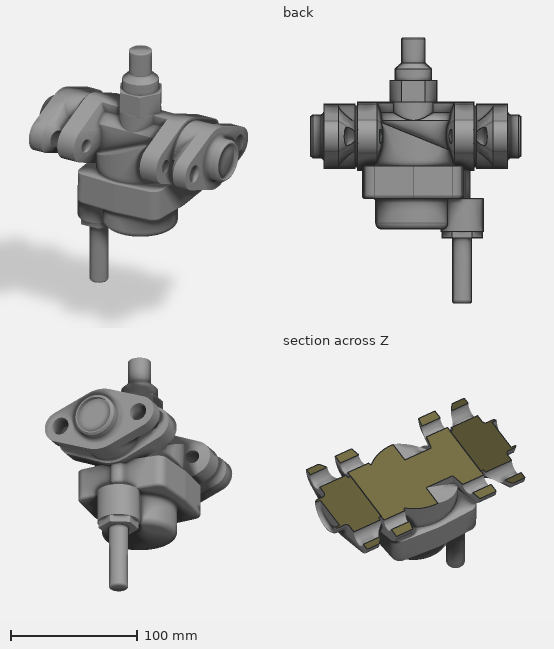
import cadquery as cq
import math


half_length = 83.3
body_flange_inner_x = 30.7
body_flange_outer_x = 46.0
neck_end_x = 48.1
flange_inner_x = 61.1
flange_outer_x = 72.7
bolt_offset = 34.0
body_ear_offset = 34.0
flange_ear_offset = 34.7
body_bolt_radius = 5.5
flange_bolt_radius = 7.1
body_crest_radius = 27.2
body_ear_radius = 14.0
flange_crest_radius = 25.6
flange_ear_radius = 13.0
spigot_radius = 24.2

body_taper_end_x = 23.7
body_taper_end = (12.2, 7.5, 8.5)
flange_taper_end = (flange_crest_radius, 21.2, 7.5)

stub_radius = 17.0
stub_fillet = 3.0
stub_chamfer_length = 1.9
stub_chamfer_depth = 1.5
bore_radius = 14.7
bore_depth = 4.2

valve_x = 1.9
saddle_radius = 23.5
saddle_centre_z = -3.8
saddle_half_width = 16.8
ridge_half_width = 6.0
boss_radius = 16.8
barrel_radius = 35.3
barrel_cut_angle = 22.0

plate_top_z = -23.5
plate_bottom_z = -49.2
plate_mid_reach = 40.3
plate_corner_reach = 37.8
plate_corner_radius = 8.0
cover_fillet = 2.0
cup_radius = 29.8
cup_bottom_z = -73.3
cup_fillet = 4.8

pilot_x = -36.8
pilot_radius = 16.8
pilot_top_fillet = 0.6
pilot_bottom_z = -75.2
pilot_hex_radius = 16.0
pilot_hex_bottom_z = -80.5
pilot_stem_radius = 7.5
pilot_stem_bottom_z = -132.2
pilot_stem_fillet = 1.9
channel_radius = 6.3
channel_fillet = 2.0

spindle_hex_radius = 18.7
spindle_hex_top_z = 44.3
collar_radius = 14.5
collar_top_z = 53.4
cap_radius = 9.2
cap_bottom_z = 58.2
cap_top_z = 78.0
cap_fillet = 1.3


def cylinder(x, radius, bottom_z, top_z):
    return cq.Workplane("XY", origin=(x, 0, bottom_z)).circle(radius).extrude(top_z - bottom_z)


def hexagon(x, corner_radius, bottom_z, top_z):
    plane = cq.Workplane("XY", origin=(x, 0, bottom_z))
    return plane.polygon(6, 2 * corner_radius).extrude(top_z - bottom_z)


def pipe_disc(radius, start_x, end_x):
    return cq.Workplane("YZ", origin=(start_x, 0, 0)).circle(radius).extrude(end_x - start_x)


def lens_outline(x, crest_radius, ear_offset, ear_radius):
    """Oval flange outline: a central circle and two ear circles joined by tangent lines."""
    sine = (crest_radius - ear_radius) / ear_offset
    cosine = math.sqrt(1 - sine**2)
    crest_y = crest_radius * sine
    crest_z = crest_radius * cosine
    ear_y = ear_offset + ear_radius * sine
    ear_z = ear_radius * cosine
    tip_y = ear_offset + ear_radius
    return (
        cq.Workplane("YZ", origin=(x, 0, 0))
        .moveTo(ear_y, -ear_z)
        .threePointArc((tip_y, 0), (ear_y, ear_z))
        .lineTo(crest_y, crest_z)
        .threePointArc((0, crest_radius), (-crest_y, crest_z))
        .lineTo(-ear_y, ear_z)
        .threePointArc((-tip_y, 0), (-ear_y, -ear_z))
        .lineTo(-crest_y, -crest_z)
        .threePointArc((0, -crest_radius), (crest_y, -crest_z))
        .close()
    )


def lens_taper(start_x, start_lens, end_x, end_lens):
    start_wire = lens_outline(start_x, *start_lens).val()
    end_wire = lens_outline(end_x, *end_lens).val()
    return cq.Workplane(cq.Solid.makeLoft([start_wire, end_wire], True))


def bolt_holes(radius, start_x, end_x):
    plane = cq.Workplane("YZ", origin=(start_x, 0, 0))
    return plane.pushPoints([(-bolt_offset, 0), (bolt_offset, 0)]).circle(radius).extrude(end_x - start_x)


def connection_flange():
    """Flange on the +X end: oval plate, tapered neck with spigot, and a pipe stub."""
    lens = (flange_crest_radius, flange_ear_offset, flange_ear_radius)
    plate = lens_outline(flange_inner_x, *lens).extrude(flange_outer_x - flange_inner_x)
    taper = lens_taper(flange_inner_x, lens, neck_end_x, flange_taper_end)
    neck = pipe_disc(flange_crest_radius, neck_end_x, flange_inner_x)
    spigot = pipe_disc(spigot_radius, body_flange_outer_x, neck_end_x)
    fillet_mid = stub_fillet * (1 - math.sqrt(0.5))
    stub = (
        cq.Workplane("XY")
        .moveTo(flange_inner_x, 0)
        .lineTo(flange_inner_x, stub_radius + stub_fillet)
        .lineTo(flange_outer_x, stub_radius + stub_fillet)
        .threePointArc(
            (flange_outer_x + fillet_mid, stub_radius + fillet_mid),
            (flange_outer_x + stub_fillet, stub_radius),
        )
        .lineTo(half_length - stub_chamfer_length, stub_radius)
        .lineTo(half_length, stub_radius - stub_chamfer_depth)
        .lineTo(half_length, bore_radius)
        .lineTo(half_length - bore_depth, bore_radius)
        .lineTo(half_length - bore_depth, 0)
        .close()
        .revolve(360, (0, 0, 0), (1, 0, 0))
    )
    solid = plate.union(taper).union(neck).union(spigot).union(stub)
    return solid.cut(bolt_holes(flange_bolt_radius, neck_end_x, flange_outer_x))


def body_flange():
    """Body flange on the +X end, with its back tapering in towards the barrel."""
    lens = (body_crest_radius, body_ear_offset, body_ear_radius)
    plate = lens_outline(body_flange_inner_x, *lens).extrude(body_flange_outer_x - body_flange_inner_x)
    taper = lens_taper(body_flange_inner_x, lens, body_taper_end_x, body_taper_end)
    return plate.union(taper)


def pipe_strip(radius, half_width):
    """Length of round bar between the body flanges, with flat sides at the given half width."""
    bar = pipe_disc(radius, -body_flange_inner_x, body_flange_inner_x)
    return bar.intersect(cq.Workplane("XY").box(2 * half_length, 2 * half_width, 2 * radius))


def barrel():
    """Vertical drum with its top cut off by a slope through the pipe axis."""
    drum = cylinder(valve_x, barrel_radius, plate_top_z, barrel_radius)
    slope_block = (
        cq.Workplane("XY")
        .box(4 * barrel_radius, 4 * barrel_radius, 2 * barrel_radius, centered=(True, True, False))
        .rotate((0, 0, 0), (0, 1, 0), -barrel_cut_angle)
    )
    return drum.cut(slope_block)


def upper_body():
    saddle = pipe_strip(saddle_radius, saddle_half_width).translate((0, 0, saddle_centre_z))
    ridge = pipe_strip(body_crest_radius, ridge_half_width)
    ridge = ridge.intersect(
        cq.Workplane("XY").box(2 * half_length, 2 * half_length, body_crest_radius, centered=(True, True, False))
    )
    boss = cylinder(valve_x, boss_radius, 0, body_crest_radius)
    return barrel().union(saddle).union(ridge).union(boss)


def cover_plate():
    """Square plate whose sides peak slightly at their middles, with rounded corners."""
    mid = plate_mid_reach
    corner = plate_corner_reach
    outline = [(mid, 0), (corner, corner), (0, mid), (-corner, corner)]
    outline += [(-x, -y) for x, y in outline]
    plate = (
        cq.Workplane("XY", origin=(valve_x, 0, plate_bottom_z))
        .polyline(outline)
        .close()
        .extrude(plate_top_z - plate_bottom_z)
    )
    for side_x in (-corner, corner):
        for side_y in (-corner, corner):
            near_corner = cq.selectors.NearestToPointSelector(
                (valve_x + side_x, side_y, (plate_top_z + plate_bottom_z) / 2)
            )
            plate = plate.edges("|Z").edges(near_corner).fillet(plate_corner_radius)
    return plate


def pilot_channel(plate):
    """Vertical rib from the pilot to the body flange, blended into the side of the plate."""
    rib = cylinder(pilot_x, channel_radius, plate_bottom_z, plate_top_z)
    joined = plate.union(rib)
    blend_zone = cq.selectors.BoxSelector(
        (pilot_x - channel_radius, -channel_radius - 2, plate_bottom_z),
        (pilot_x, channel_radius + 2, plate_top_z),
    )
    joined = joined.edges("|Z").edges(blend_zone).fillet(channel_fillet)
    return joined.union(cylinder(pilot_x, channel_radius, plate_top_z, -body_crest_radius / 2))


def cup():
    """Round cup under the plate, with a small concave blend where it meets the plate."""
    blend_mid = cover_fillet * (1 - math.sqrt(0.5))
    profile = (
        cq.Workplane("XZ")
        .moveTo(0, cup_bottom_z)
        .lineTo(cup_radius, cup_bottom_z)
        .lineTo(cup_radius, plate_bottom_z - cover_fillet)
        .threePointArc(
            (cup_radius + blend_mid, plate_bottom_z - blend_mid),
            (cup_radius + cover_fillet, plate_bottom_z),
        )
        .lineTo(0, plate_bottom_z)
        .close()
    )
    turned = profile.revolve(360, (0, 0, 0), (0, 1, 0))
    return turned.faces("<Z").edges().fillet(cup_fillet).translate((valve_x, 0, 0))


def cover():
    sharp_plate = cover_plate()
    rounded_plate = sharp_plate.faces("<Z").edges().fillet(cover_fillet)
    square_rim = sharp_plate.intersect(cylinder(pilot_x, pilot_radius, plate_bottom_z, plate_top_z))
    plate = rounded_plate.union(square_rim)
    return pilot_channel(plate).union(cup())


def pilot():
    boss = cylinder(pilot_x, pilot_radius, pilot_bottom_z, plate_bottom_z)
    boss = boss.faces(">Z").edges().fillet(pilot_top_fillet)
    nut = hexagon(pilot_x, pilot_hex_radius, pilot_hex_bottom_z, pilot_bottom_z)
    stem = cylinder(pilot_x, pilot_stem_radius, pilot_stem_bottom_z, pilot_hex_bottom_z)
    stem = stem.faces("<Z").edges().fillet(pilot_stem_fillet)
    return boss.union(nut).union(stem)


def on_both_ends(right_end):
    return [right_end.rotate((0, 0, 0), (0, 0, 1), angle) for angle in (0, 180)]


def valve_body():
    solid = upper_body()
    for flange in on_both_ends(body_flange()):
        solid = solid.union(flange)
    solid = solid.union(cover()).union(pilot())
    for holes in on_both_ends(bolt_holes(body_bolt_radius, body_taper_end_x, body_flange_outer_x)):
        solid = solid.cut(holes)
    return solid


def spindle():
    nut = hexagon(valve_x, spindle_hex_radius, body_crest_radius, spindle_hex_top_z)
    turned = (
        cq.Workplane("XZ")
        .moveTo(0, spindle_hex_top_z)
        .lineTo(collar_radius, spindle_hex_top_z)
        .lineTo(collar_radius, collar_top_z)
        .lineTo(cap_radius, cap_bottom_z)
        .lineTo(cap_radius, cap_top_z)
        .lineTo(0, cap_top_z)
        .close()
        .revolve(360, (0, 0, 0), (0, 1, 0))
        .faces(">Z")
        .edges()
        .fillet(cap_fillet)
        .translate((valve_x, 0, 0))
    )
    return nut.union(turned)


body = valve_body()
flanges = on_both_ends(connection_flange())
top_spindle = spindle()

result = cq.Compound.makeCompound([body.val(), *[flange.val() for flange in flanges], top_spindle.val()])